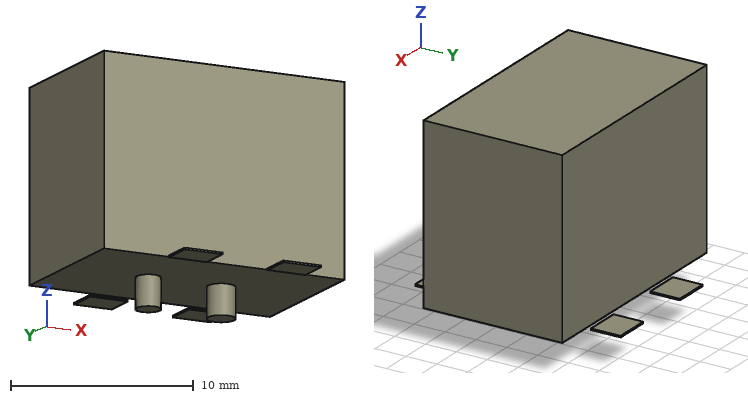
import cadquery as cq

housing_length = 14.8
housing_width = 9.0
housing_height = 11.2

pin_length = 1.79
small_pin_diameter = 1.4
small_pin_x = -2.38
large_pin_diameter = 1.6
large_pin_x = 2.1

pad_length = 2.32
pad_width = 1.92
pad_thickness = 0.1
pad_pitch = 6.07
first_pad_x = small_pin_x
overall_width = 13.32
pad_y = (overall_width - pad_width) / 2


def make_housing():
    """Plain rectangular block standing on Z = 0."""
    return cq.Workplane("XY").box(
        housing_length, housing_width, housing_height, centered=(True, True, False)
    )


def make_pin(diameter, x):
    """Cylinder hanging from the underside of the housing."""
    return cq.Workplane("XY").center(x, 0).circle(diameter / 2).extrude(-pin_length)


def make_pad(x, y):
    """Thin rectangular plate with its top level with the housing underside."""
    return cq.Workplane("XY").center(x, y).rect(pad_length, pad_width).extrude(-pad_thickness)


housing = make_housing()
small_pin = make_pin(small_pin_diameter, small_pin_x)
large_pin = make_pin(large_pin_diameter, large_pin_x)

pads = []
for pad_x in (first_pad_x, first_pad_x + pad_pitch):
    for side in (-1, 1):
        pads.append(make_pad(pad_x, side * pad_y).val())

result = cq.Compound.makeCompound([housing.val(), small_pin.val(), large_pin.val(), *pads])